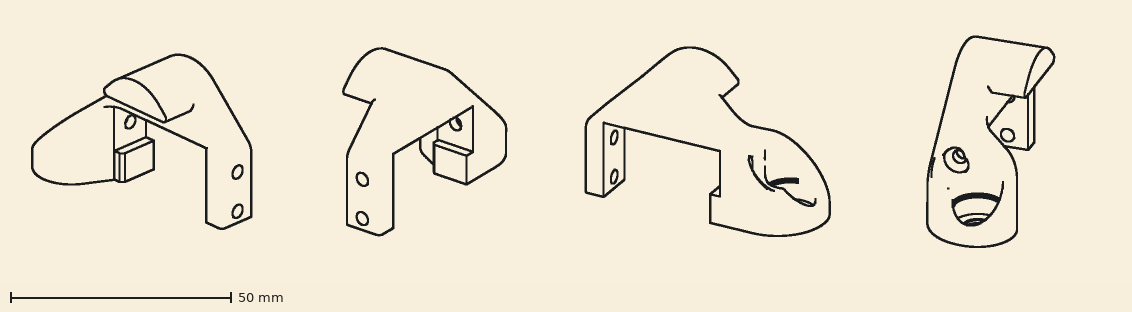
import cadquery as cq
import math

length = 55.5
height = 33.4
plate_depth = 10.0
edge_round = 1.1
overcut = 0.55

slope_start_z = 2.5
crown_x = 35.4
shoulder_radius = 4.0

boss_x = 9.0
boss_y = -12.5
boss_radius = 9.0
boss_back_radius = 12.0
neck_radius = 4.0
neck_end_x = 22.9

bore_diameter = 11.5
floor_thickness = 1.0
floor_hole_diameter = 6.0
floor_hole_chamfer = 0.2

bead_bottom_z = 5.2
bead_height = 1.0
bead_reach = 0.35
bead_start_angle = -80.0

opening_left_x = 20.4
opening_right_x = 50.4
opening_height = 18.85

tab_height = 7.3
tab_chamfer = 0.85

lug_bottom_z = 26.2
lug_depth = 18.0

screw_y = -plate_depth / 2
upper_screw_z = 12.95
lower_screw_z = 2.95
screw_diameter = 3.2
head_diameter = 6.4
head_floor_x = 16.4

half_root = math.sqrt(0.5)
slope_peak_z = slope_start_z + crown_x
crown_radius = (slope_peak_z - height) / (math.sqrt(2) - 1)
crown_half_width = crown_radius * half_root
crown_end_z = height - crown_radius + crown_half_width
shoulder_corner_z = slope_peak_z - (length - crown_x)
shoulder_x = length - shoulder_radius
shoulder_z = shoulder_corner_z - shoulder_radius * math.tan(math.pi / 8)


def on_circle(x, y, radius, angle):
    return (x + radius * math.cos(angle), y + radius * math.sin(angle))


neck_y = -plate_depth - neck_radius
span_x = neck_end_x - boss_x
span_y = neck_y - boss_y
tangent_turn = math.acos((boss_radius + neck_radius) / math.hypot(span_x, span_y))
neck_angle = math.atan2(span_y, span_x) - tangent_turn
neck_start = on_circle(boss_x, boss_y, boss_radius, neck_angle)
neck_arc_start = on_circle(neck_end_x, neck_y, neck_radius, neck_angle + math.pi)


def box_between(low, high):
    size = [end - start for start, end in zip(low, high)]
    return cq.Workplane("XY").box(*size, centered=False).translate(low)


def side_profile():
    """Outline of the bracket in the XZ plane."""
    return (
        cq.Workplane("XZ")
        .lineTo(0, slope_start_z)
        .lineTo(crown_x - crown_half_width, crown_end_z)
        .threePointArc((crown_x, height), (crown_x + crown_half_width, crown_end_z))
        .lineTo(*on_circle(shoulder_x, shoulder_z, shoulder_radius, math.pi / 4))
        .threePointArc(
            on_circle(shoulder_x, shoulder_z, shoulder_radius, math.pi / 8),
            (length, shoulder_z),
        )
        .lineTo(length, 0)
        .close()
    )


def plan_profile():
    """Outline of the plate, neck and boss in the XY plane."""
    neck_arc_middle_angle = (neck_angle + 1.5 * math.pi) / 2
    return (
        cq.Workplane("XY")
        .moveTo(length, 0)
        .lineTo(boss_back_radius, 0)
        .threePointArc(
            on_circle(boss_back_radius, -boss_back_radius, boss_back_radius, 0.75 * math.pi),
            (0, -boss_back_radius),
        )
        .lineTo(0, boss_y)
        .threePointArc(
            on_circle(boss_x, boss_y, boss_radius, (neck_angle - math.pi) / 2),
            neck_start,
        )
        .lineTo(*neck_arc_start)
        .threePointArc(
            on_circle(neck_end_x, neck_y, neck_radius, neck_arc_middle_angle),
            (neck_end_x, -plate_depth),
        )
        .lineTo(length, -plate_depth)
        .close()
    )


def make_shell():
    """Plan and side outlines crossed; the crown edge leads the rounding along the whole rim."""
    side = side_profile().extrude(boss_radius - boss_y + overcut)
    shell = plan_profile().extrude(height).intersect(side)
    return shell.edges(">Y and >Z").fillet(edge_round)


def make_opening():
    """Gap between the legs; below its ceiling the neck wall stays straight up to the left leg."""
    neck_slope = math.tan(neck_angle + math.pi / 2)
    leg_corner_y = neck_start[1] + (opening_left_x - neck_start[0]) * neck_slope
    corners = [
        (opening_left_x, overcut),
        (opening_left_x, leg_corner_y),
        neck_arc_start,
        (opening_right_x, neck_arc_start[1]),
        (opening_right_x, overcut),
    ]
    return cq.Workplane("XY").polyline(corners).close().extrude(opening_height)


def make_tab():
    root_x = opening_left_x - overcut
    tab = box_between((root_x, -plate_depth, 0), (neck_end_x, 0, tab_height))
    return tab.edges("|Z and >X and <Y").chamfer(tab_chamfer)


def make_lug():
    """Top of the side profile, carried forward from the middle of the plate."""
    top = box_between((0, -lug_depth, lug_bottom_z), (length, 0, height))
    lug = side_profile().extrude(lug_depth).intersect(top).edges("|Y and <Z").fillet(edge_round)
    return lug.intersect(box_between((0, -lug_depth, 0), (length, screw_y, height)))


def is_rim(edge):
    """True where the edge lies on two of: the left slope, the boss bore, the screw head recess."""
    points = [edge.positionAt(share) for share in (0.1, 0.5, 0.9)]
    offsets = [
        [p.z - p.x - slope_start_z for p in points],
        [math.hypot(p.x - boss_x, p.y - boss_y) - bore_diameter / 2 for p in points],
        [math.hypot(p.y - screw_y, p.z - upper_screw_z) - head_diameter / 2 for p in points],
    ]
    tolerance = 0.005
    return sum(max(map(abs, surface)) < tolerance for surface in offsets) == 2


def make_pockets():
    """Boss bore and head recess as one body, with flared mouths.

    They are rounded in a wide wedge under the left slope, clear of the rounded outer edges.
    """
    margin = 11.1
    left_x = -margin
    right_x = neck_end_x
    wedge = (
        cq.Workplane("XZ", origin=(0, margin, 0))
        .moveTo(left_x, -2 * margin)
        .lineTo(left_x, left_x + slope_start_z)
        .lineTo(right_x, right_x + slope_start_z)
        .lineTo(right_x, -2 * margin)
        .close()
        .extrude(boss_radius - boss_y + 2 * margin)
    )
    bore = cq.Workplane("XY", origin=(boss_x, boss_y, floor_thickness)).circle(bore_diameter / 2)
    head = cq.Workplane("YZ", origin=(0, screw_y, upper_screw_z)).circle(head_diameter / 2)
    bored = wedge.cut(bore.extrude(height)).cut(head.extrude(head_floor_x))
    rims = [edge for edge in bored.edges().vals() if is_rim(edge)]
    return wedge.cut(bored.newObject(rims).fillet(edge_round))


def make_floor_hole():
    radius = floor_hole_diameter / 2
    hole = cq.Workplane("XY", origin=(boss_x, boss_y, -overcut)).circle(radius)
    chamfer = (
        cq.Workplane("XY", origin=(boss_x, boss_y, floor_thickness))
        .circle(radius + floor_hole_chamfer)
        .workplane(offset=-floor_hole_chamfer)
        .circle(radius)
        .loft()
    )
    return hole.extrude(floor_thickness + overcut).union(chamfer)


def screw_hole(start_x, z):
    start = cq.Workplane("YZ", origin=(start_x, screw_y, z))
    return start.circle(screw_diameter / 2).extrude(length + overcut - start_x)


def make_countersink():
    """45 degree cone from the head recess down to the upper screw hole."""
    return (
        cq.Workplane("YZ", origin=(head_floor_x, screw_y, upper_screw_z))
        .circle(head_diameter / 2)
        .workplane(offset=(head_diameter - screw_diameter) / 2)
        .circle(screw_diameter / 2)
        .loft()
    )


def make_bead():
    """Half ring with 45 degree flanks, rooted slightly inside the bore wall."""
    wall = bore_diameter / 2
    root = wall + bead_reach
    tip = wall - bead_reach
    bead_top_z = bead_bottom_z + bead_height
    section = [
        (root, bead_bottom_z),
        (wall, bead_bottom_z),
        (tip, bead_bottom_z + bead_reach),
        (tip, bead_top_z - bead_reach),
        (wall, bead_top_z),
        (root, bead_top_z),
    ]
    bead = cq.Workplane("XZ").polyline(section).close().revolve(180, (0, 0), (0, 1))
    return bead.rotate((0, 0, 0), (0, 0, 1), bead_start_angle).translate((boss_x, boss_y, 0))


result = (
    make_shell()
    .cut(make_opening())
    .union(make_lug())
    .cut(make_pockets())
    .union(make_tab())
    .cut(make_countersink())
    .cut(screw_hole(head_floor_x, upper_screw_z))
    .cut(screw_hole(opening_right_x - overcut, lower_screw_z))
    .cut(make_floor_hole())
    .union(make_bead())
)